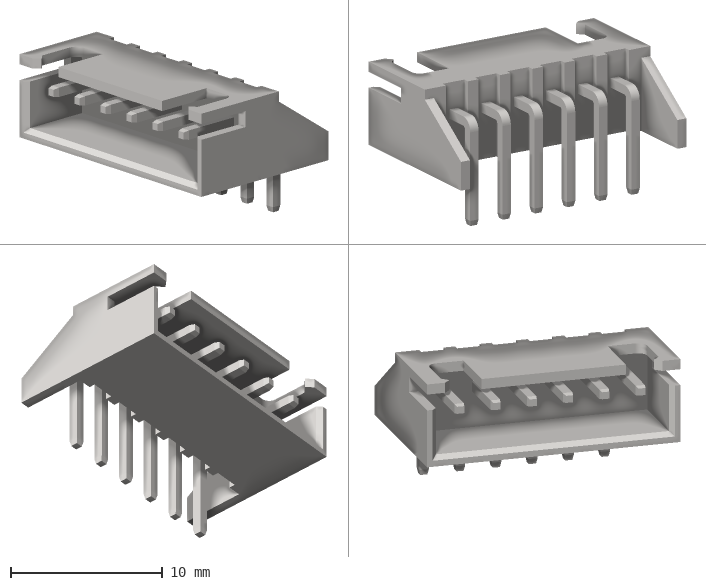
import cadquery as cq
import math


width = 17.5
body_depth = 7.0
overall_depth = 11.5
body_height = 5.75
side_wall = 0.7
floor = 0.74
roof = 0.7
cavity_depth = 5.0
mouth_chamfer = 0.32
wing_step = 0.7
wing_end_height = 2.0

opening_depth = 4.0
slot_height = 1.1
window_outer_margin = 1.25
window_inner_margin = 3.76
window_fillet = 0.61
lip = 0.44

pin_count = 6
pitch = 2.5
pin_size = 0.65
pin_height = 3.57
pin_front = 0.52
pin_back = 9.17
pin_drop = 3.5
bend_radius = 0.88
tip_length = 0.38
tip_inset = 0.079

notch_width = 1.68
notch_depth = 0.44

half_width = width / 2
roof_underside = body_height - roof
cavity_half_width = half_width - side_wall
pin_positions = [(i - (pin_count - 1) / 2) * pitch for i in range(pin_count)]


def block(x_range, y_range, z_range):
    """Box spanning the given (low, high) limits."""
    low, high = zip(x_range, y_range, z_range)
    size = [b - a for a, b in zip(low, high)]
    return cq.Workplane("XY").box(*size, centered=False).translate(low)


def housing_blank():
    """Solid body with a sloping wing behind each end."""
    side_profile = [
        (0, 0),
        (overall_depth, 0),
        (overall_depth, wing_end_height),
        (body_depth, body_height - wing_step),
        (body_depth, body_height),
        (0, body_height),
    ]
    blank = cq.Workplane("YZ").polyline(side_profile).close().extrude(half_width, both=True)
    wing_gap = block(
        (-cavity_half_width, cavity_half_width),
        (body_depth, overall_depth),
        (0, body_height),
    )
    return blank.cut(wing_gap)


def mouth_section(y, margin):
    """Cavity outline at depth y, widened by margin at the sides and the floor."""
    x = cavity_half_width + margin
    bottom = floor - margin
    corners = [(-x, bottom), (x, bottom), (x, roof_underside), (-x, roof_underside)]
    return cq.Wire.makePolygon([cq.Vector(cx, y, cz) for cx, cz in corners], close=True)


def cavity():
    """Mating cavity with a chamfered mouth; the roof edge stays square."""
    pocket = block(
        (-cavity_half_width, cavity_half_width),
        (0, cavity_depth),
        (floor, roof_underside),
    )
    mouth = cq.Solid.makeLoft([mouth_section(0, mouth_chamfer), mouth_section(mouth_chamfer, 0)], True)
    return pocket.union(cq.Workplane(mouth))


def side_slots():
    """Slots through both side walls just under the roof."""
    return block(
        (-half_width, half_width),
        (0, opening_depth),
        (roof_underside - slot_height, roof_underside),
    )


def left_window():
    """Roof window open at the front, with a pointed lip narrowing its outer side."""
    outer = -half_width + window_outer_margin
    inner = -half_width + window_inner_margin
    fillet_mid = window_fillet * (1 - math.sqrt(0.5))
    return (
        cq.Workplane("XY", origin=(0, 0, roof_underside))
        .moveTo(inner, 0)
        .lineTo(inner, opening_depth)
        .lineTo(outer + window_fillet, opening_depth)
        .threePointArc(
            (outer + fillet_mid, opening_depth - fillet_mid),
            (outer, opening_depth - window_fillet),
        )
        .lineTo(outer, 2 * lip)
        .lineTo(outer + lip, lip)
        .lineTo(outer, 0)
        .close()
        .extrude(roof)
    )


def back_notch(x):
    """Full-height notch in the back face behind the pin at x."""
    return block(
        (x - notch_width / 2, x + notch_width / 2),
        (body_depth - notch_depth, body_depth),
        (0, body_height),
    )


def pin_tip(base, direction):
    """Tapered end growing from the base point along the direction."""
    taper = math.degrees(math.atan2(tip_inset, tip_length))
    plane = cq.Plane(origin=base, xDir=(1, 0, 0), normal=direction)
    return cq.Workplane(plane).rect(pin_size, pin_size).extrude(tip_length, taper=taper)


def pin(x):
    """Square pin bent down to the board, tapered at both ends."""
    half = pin_size / 2
    leg_y = pin_back - half
    shank_start = pin_front + tip_length
    leg_bottom = tip_length - pin_drop
    shank = block((-half, half), (shank_start, pin_back), (pin_height - half, pin_height + half))
    leg = block((-half, half), (leg_y - half, pin_back), (leg_bottom, pin_height + half))
    bent = (
        shank.union(leg)
        .edges("|X and >Y and >Z")
        .fillet(bend_radius)
        .edges(cq.selectors.NearestToPointSelector((0, leg_y - half, pin_height - half)))
        .fillet(bend_radius - pin_size)
    )
    front_tip = pin_tip((0, shank_start, pin_height), (0, -1, 0))
    board_tip = pin_tip((0, leg_y, leg_bottom), (0, 0, -1))
    return bent.union(front_tip).union(board_tip).translate((x, 0, 0))


housing = housing_blank().cut(cavity()).cut(side_slots())
window = left_window()
housing = housing.cut(window).cut(window.mirror("YZ"))
for x in pin_positions:
    housing = housing.cut(back_notch(x))

result = housing
for x in pin_positions:
    result = result.union(pin(x))